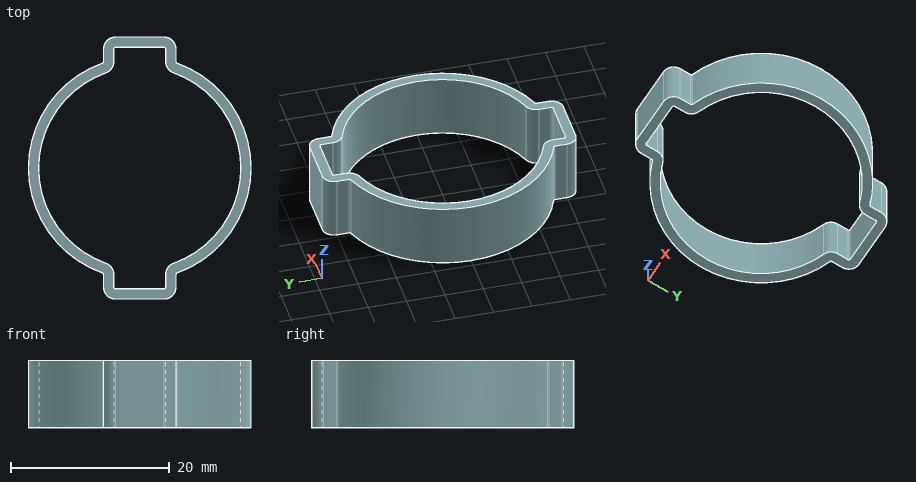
import cadquery as cq

length = 33.0
ring_diameter = 28.05
band_width = 8.5
wall = 1.32
ear_width = 9.15
inner_bend = 0.2
outer_bend = inner_bend + wall


def clamp_body(inset, corner_radius, neck_radius):
    """Solid bounded by the outer outline moved inward by inset."""
    ring = cq.Workplane("XY").circle(ring_diameter / 2 - inset).extrude(band_width)
    ears = cq.Workplane("XY").rect(ear_width - 2 * inset, length - 2 * inset).extrude(band_width)
    corners_rounded = ears.edges("|Z").fillet(corner_radius)
    body = ring.union(corners_rounded)

    neck_x = ear_width / 2 - inset
    neck_y = ((ring_diameter / 2 - inset) ** 2 - neck_x ** 2) ** 0.5
    necks = [(x, y, band_width / 2) for x in (-neck_x, neck_x) for y in (-neck_y, neck_y)]
    for neck in necks:
        body = body.edges(cq.selectors.NearestToPointSelector(neck)).fillet(neck_radius)
    return body


outside = clamp_body(0, outer_bend, inner_bend)
inside = clamp_body(wall, inner_bend, outer_bend)

result = outside.cut(inside)